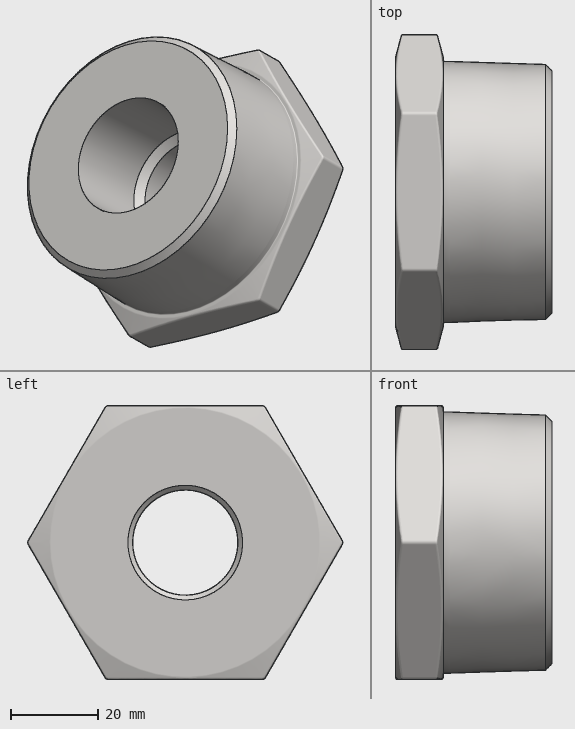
import cadquery as cq
import math

across_flats = 63.0
head_length = 11.0
corner_round = 1.0
bevel_angle = 15.0
bevel_face_diameter = 62.0
face_rim_round = 1.0
bevel_edge_round = 0.5

total_length = 36.0
collar_diameter = 60.1
collar_end = 12.6
root_fillet = 0.2
taper_end_diameter = 58.75
tip_chamfer = 1.5

bore_diameter = 24.1
bore_mouth_diameter = 26.4
bore_length = 12.0
rear_step_length = 1.7
rear_bore_diameter = 28.0


def revolve_about_x(profile):
    """Turn a closed profile in the XY plane one full revolution about the X axis."""
    return profile.revolve(360, (0, 0, 0), (1, 0, 0))


def turned(points):
    """Revolve an outline of (x, radius) points about the X axis."""
    return revolve_about_x(cq.Workplane("XY").polyline(points).close())


def hexagon_head():
    """Hexagonal prism with rounded corners, bevelled on both faces."""
    across_corners = across_flats / math.cos(math.radians(30))
    prism = (
        cq.Workplane("YZ")
        .polygon(6, across_corners)
        .extrude(head_length)
        .edges("|X")
        .fillet(corner_round)
    )
    face_radius = bevel_face_diameter / 2
    bevel_outer_radius = across_corners / 2
    bevel_depth = (bevel_outer_radius - face_radius) * math.tan(math.radians(bevel_angle))
    bevel_envelope = turned([
        (0, 0),
        (0, face_radius),
        (bevel_depth, bevel_outer_radius),
        (head_length - bevel_depth, bevel_outer_radius),
        (head_length, face_radius),
        (head_length, 0),
    ])
    face_rims = bevel_envelope.faces("<X or >X").edges()
    bevel_envelope = face_rims.fillet(face_rim_round)
    head = prism.intersect(bevel_envelope)
    bevel_edges = head.edges("not |X").edges("not %CIRCLE")
    return bevel_edges.fillet(bevel_edge_round)


def tapered_end():
    """Short collar, filleted where it meets the head, followed by a taper with a chamfered tip."""
    collar_radius = collar_diameter / 2
    taper_end_radius = taper_end_diameter / 2
    root_offset = root_fillet * (1 - math.cos(math.radians(45)))
    profile = (
        cq.Workplane("XY")
        .lineTo(0, collar_radius + root_fillet)
        .lineTo(head_length, collar_radius + root_fillet)
        .threePointArc(
            (head_length + root_offset, collar_radius + root_offset),
            (head_length + root_fillet, collar_radius),
        )
        .lineTo(collar_end, collar_radius)
        .lineTo(total_length - tip_chamfer, taper_end_radius)
        .lineTo(total_length, taper_end_radius - tip_chamfer)
        .lineTo(total_length, 0)
        .close()
    )
    return revolve_about_x(profile)


def stepped_bore():
    """Bore with a 45 degree mouth, opening through a cone to a wider bore at the rear."""
    bore_radius = bore_diameter / 2
    rear_radius = rear_bore_diameter / 2
    mouth_radius = bore_mouth_diameter / 2
    return turned([
        (0, 0),
        (0, mouth_radius),
        (mouth_radius - bore_radius, bore_radius),
        (bore_length, bore_radius),
        (bore_length + rear_step_length, rear_radius),
        (total_length, rear_radius),
        (total_length, 0),
    ])


result = hexagon_head().union(tapered_end()).cut(stepped_bore())